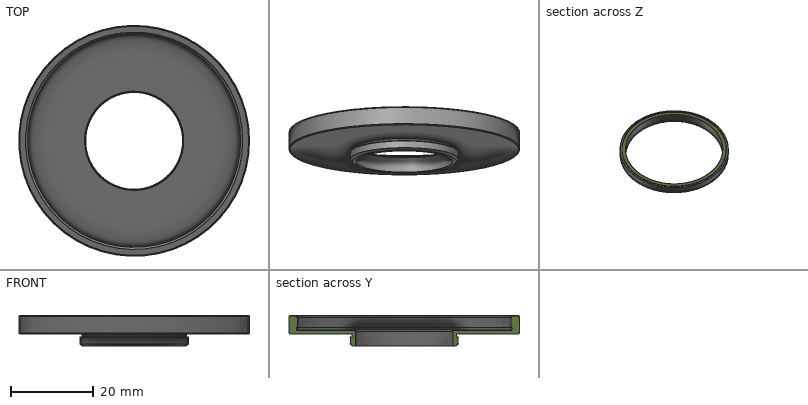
import cadquery as cq

total_height = 7.4
disc_height = 4.5
neck_height = 0.7
disc_bottom = total_height - disc_height
collar_top = disc_bottom - neck_height

disc_diameter = 56.0
pocket_diameter = 51.7
relief_diameter = 52.2
collar_diameter = 26.25
neck_diameter = 25.4
bore_diameter = 23.5

pocket_depth = 3.5
relief_height = 0.7
floor_level = total_height - pocket_depth

disc_chamfer = 0.2
pocket_chamfer = 0.5
collar_chamfer = 0.5
bore_chamfer = 0.3


def cylinder(diameter, bottom, top):
    """Solid cylinder on the Z axis between two levels."""
    return cq.Workplane("XY").workplane(offset=bottom).circle(diameter / 2).extrude(top - bottom)


def countersink(diameter, size, level):
    """Cutter for a 45 degree chamfer on a hole whose mouth faces up at a level."""
    wide_end = cq.Workplane("XY").workplane(offset=level).circle(diameter / 2 + size)
    return wide_end.extrude(-size, taper=45)


disc = cylinder(disc_diameter, disc_bottom, total_height).edges().chamfer(disc_chamfer)

neck = cylinder(neck_diameter, collar_top, disc_bottom)
collar = cylinder(collar_diameter, 0, collar_top).faces("<Z").edges().chamfer(collar_chamfer)
body = disc.union(neck).union(collar)

body = body.cut(cylinder(pocket_diameter, floor_level, total_height))
body = body.cut(countersink(pocket_diameter, pocket_chamfer, total_height))
body = body.cut(cylinder(relief_diameter, floor_level, floor_level + relief_height))

body = body.cut(cylinder(bore_diameter, 0, total_height))
result = body.cut(countersink(bore_diameter, bore_chamfer, floor_level))